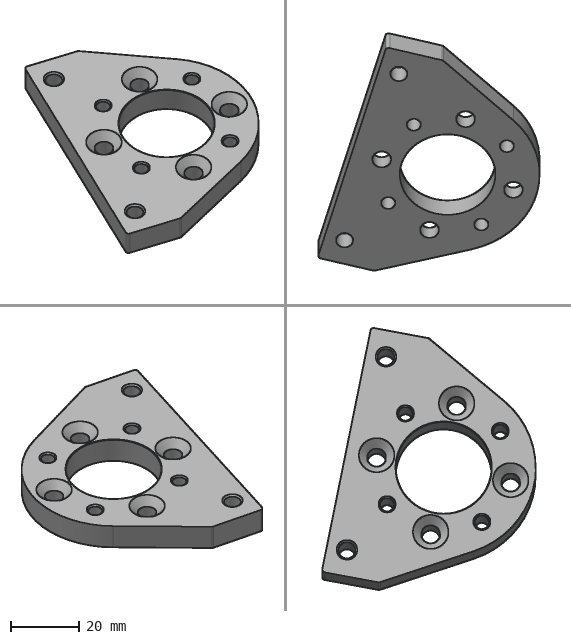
import cadquery as cq
import math

width = 76.0
thickness = 8.0
crown_radius = 27.0
base_drop = 29.0
flank_angle = 60.0
corner_radius = 1.0

bore_diameter = 28.0
bore_chamfer = 0.15

pitch_radius = 20.0
holes_per_ring = 4
ring_step = 360 / holes_per_ring
countersunk_diameter = 5.5
countersink_diameter = 10.4
small_hole_diameter = 4.1
small_hole_mouth = 5.0

mount_offset_x = 30.0
mount_drop = 23.0
mount_diameter = 4.95
mount_mouth = 6.0

countersink_angle = 90.0


def make_plate():
    """Plate with a round crown, tangent sloping flanks and a straight base."""
    half_width = width / 2
    slope = math.radians(flank_angle)
    tangent_x = crown_radius * math.sin(slope)
    tangent_y = crown_radius * math.cos(slope)
    shoulder_y = tangent_y - (half_width - tangent_x) * math.tan(slope)
    plate = (
        cq.Workplane("XY")
        .moveTo(-half_width, -base_drop)
        .lineTo(half_width, -base_drop)
        .lineTo(half_width, shoulder_y)
        .lineTo(tangent_x, tangent_y)
        .threePointArc((0, crown_radius), (-tangent_x, tangent_y))
        .lineTo(-half_width, shoulder_y)
        .close()
        .extrude(thickness)
    )
    side_corners = plate.edges("|Z and (<X or >X)")
    return side_corners.fillet(corner_radius)


def on_pitch_circle(start_angle):
    """Equally spaced points on the pitch circle."""
    angles = [math.radians(start_angle + ring_step * i) for i in range(holes_per_ring)]
    return [(pitch_radius * math.cos(a), pitch_radius * math.sin(a)) for a in angles]


def cut_holes(body, points, diameter, mouth_diameter):
    """Through holes with a countersunk mouth on the upper face."""
    return (
        body.faces(">Z")
        .workplane(origin=(0, 0, thickness))
        .pushPoints(points)
        .cskHole(diameter, mouth_diameter, countersink_angle)
    )


mount_points = [(side * mount_offset_x, -mount_drop) for side in (-1, 1)]

result = make_plate()
result = cut_holes(result, [(0, 0)], bore_diameter, bore_diameter + 2 * bore_chamfer)
result = cut_holes(result, on_pitch_circle(0), countersunk_diameter, countersink_diameter)
result = cut_holes(result, on_pitch_circle(ring_step / 2), small_hole_diameter, small_hole_mouth)
result = cut_holes(result, mount_points, mount_diameter, mount_mouth)